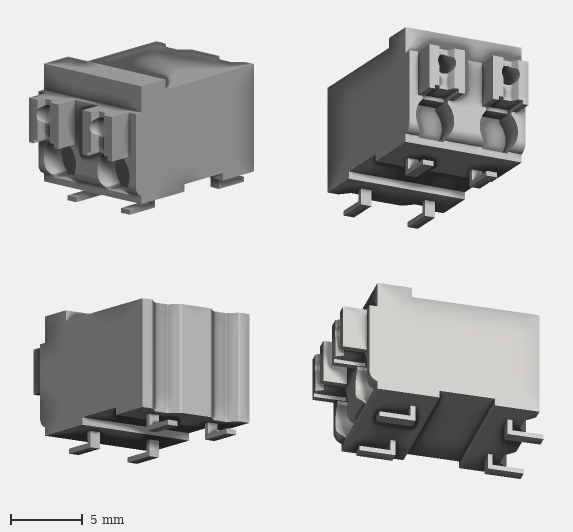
import cadquery as cq
import math


pole_pitch = 5.0
pole_xs = [-pole_pitch / 2, pole_pitch / 2]

housing_width = 9.1
housing_length = 12.27
body_height = 7.73
head_height = 8.47
head_length = 2.51
front_block_height = 6.6
front_block_depth = 0.58
front_round_radius = 0.77
front_round_center_z = 1.34
foot_recess_start = 5.06
foot_recess_end = 9.07
foot_recess_height = 0.53

back_notch_depth = 0.66
back_notch_floor_width = 1.09
back_notch_radius = 0.25

cavity_end = 1.85
wire_offset_x = -0.05
wire_bulge_width = 3.0
wire_bulge_height = 2.42
wire_bulge_center_z = 1.92
wire_slot_width = 2.0
wire_slot_bottom = 0.47

button_width = 2.77
button_bottom = 3.39
button_protrusion = 1.71
button_height = front_block_height - button_bottom
groove_outer_width = 1.2
groove_inner_width = 0.62
groove_depth = 0.53
tool_hole_diameter = 1.4
tool_hole_center_z = 5.52
relief_width = 1.87
relief_height = 0.28

pin_width = 0.81
pin_thickness = 0.35
pin_drop = 1.18
pin_foot_length = 2.6
pin_offset_x = 0.03
front_pin_heel_y = 3.78
rear_pin_heel_y = 10.45


def box(width, y_start, y_end, z_bottom, z_top, center_x):
    """Box centred on center_x that spans the given Y and Z ranges."""
    corner = cq.Vector(center_x - width / 2, y_start, z_bottom)
    return cq.Workplane(cq.Solid.makeBox(width, y_end - y_start, z_top - z_bottom, corner))


def cylinder_along_y(diameter, y_start, y_end, center_x, center_z):
    base = cq.Vector(center_x, y_start, center_z)
    return cq.Workplane(cq.Solid.makeCylinder(diameter / 2, y_end - y_start, base, cq.Vector(0, 1, 0)))


def make_housing_body():
    set_back = front_round_radius - front_block_depth
    round_end_z = front_round_center_z - math.sqrt(front_round_radius**2 - set_back**2)
    mid_angle = math.pi + math.acos(set_back / front_round_radius) / 2
    round_middle = (
        front_round_radius * (1 + math.cos(mid_angle)),
        front_round_center_z + front_round_radius * math.sin(mid_angle),
    )
    head_back = front_block_depth + head_length
    outline = (
        cq.Workplane("YZ")
        .moveTo(0, front_round_center_z)
        .threePointArc(round_middle, (front_block_depth, round_end_z))
        .lineTo(front_block_depth, 0)
        .lineTo(foot_recess_start, 0)
        .lineTo(foot_recess_start, foot_recess_height)
        .lineTo(foot_recess_end, foot_recess_height)
        .lineTo(foot_recess_end, 0)
        .lineTo(housing_length, 0)
        .lineTo(housing_length, body_height)
        .lineTo(head_back, body_height)
        .lineTo(head_back, head_height)
        .lineTo(front_block_depth, head_height)
        .lineTo(front_block_depth, front_block_height)
        .lineTo(0, front_block_height)
        .close()
    )
    return outline.extrude(housing_width / 2, both=True)


def cut_back_notch(housing, pole_x):
    """Cut a full-height notch with 45 degree sides and round its floor and mouth corners."""
    floor_y = housing_length - back_notch_depth
    half_floor = back_notch_floor_width / 2
    half_mouth = half_floor + back_notch_depth
    notch = (
        cq.Workplane("XY", origin=(pole_x, 0, 0))
        .polyline([
            (-half_mouth, housing_length),
            (-half_floor, floor_y),
            (half_floor, floor_y),
            (half_mouth, housing_length),
        ])
        .close()
        .extrude(body_height)
    )
    reach = half_mouth + back_notch_radius
    notch_corners = cq.selectors.BoxSelector(
        (pole_x - reach, floor_y - back_notch_radius, 0),
        (pole_x + reach, housing_length + back_notch_radius, body_height),
    )
    return housing.cut(notch).edges("|Z").edges(notch_corners).fillet(back_notch_radius)


def make_wire_entry(pole_x):
    """Upright slot with bulging sides that reaches up to the button."""
    center_x = pole_x + wire_offset_x
    slot = box(wire_slot_width, 0, cavity_end, wire_slot_bottom, button_bottom, center_x)
    half_slot = wire_slot_width / 2
    half_bulge = wire_bulge_width / 2
    half_height = wire_bulge_height / 2
    bulge = (
        cq.Workplane("XZ", origin=(center_x, 0, wire_bulge_center_z))
        .moveTo(-half_slot, -half_height)
        .lineTo(half_slot, -half_height)
        .threePointArc((half_bulge, 0), (half_slot, half_height))
        .lineTo(-half_slot, half_height)
        .threePointArc((-half_bulge, 0), (-half_slot, -half_height))
        .close()
        .extrude(-cavity_end)
    )
    return slot.union(bulge)


def make_housing():
    housing = make_housing_body()
    for pole_x in pole_xs:
        housing = cut_back_notch(housing, pole_x)
        button_seat = box(button_width, 0, cavity_end, button_bottom, front_block_height, pole_x)
        housing = housing.cut(button_seat)
        housing = housing.cut(make_wire_entry(pole_x))
    return housing


def make_button(pole_x):
    front_y = -button_protrusion
    body = box(button_width, front_y, cavity_end, button_bottom, front_block_height, pole_x)
    groove = (
        cq.Workplane("XY", origin=(pole_x, front_y, button_bottom))
        .polyline([
            (-groove_outer_width / 2, 0),
            (groove_outer_width / 2, 0),
            (groove_inner_width / 2, groove_depth),
            (-groove_inner_width / 2, groove_depth),
        ])
        .close()
        .extrude(button_height)
    )
    tool_hole = cylinder_along_y(tool_hole_diameter, front_y, cavity_end, pole_x, tool_hole_center_z)
    relief_top = button_bottom + relief_height
    relief = box(relief_width, front_y, front_block_depth, button_bottom, relief_top, pole_x)
    return body.cut(groove).cut(tool_hole).cut(relief)


def make_pin(pole_x, heel_y, foot_direction):
    """L-shaped pin: a leg down from the underside and a foot along foot_direction (+1 or -1 in Y)."""
    leg_y = heel_y + foot_direction * pin_thickness
    toe_y = heel_y + foot_direction * pin_foot_length
    foot_top = pin_thickness - pin_drop
    profile = [
        (heel_y, 0),
        (heel_y, -pin_drop),
        (toe_y, -pin_drop),
        (toe_y, foot_top),
        (leg_y, foot_top),
        (leg_y, 0),
    ]
    outline = cq.Workplane("YZ", origin=(pole_x + pin_offset_x, 0, 0)).polyline(profile).close()
    return outline.extrude(pin_width / 2, both=True)


housing = make_housing()
buttons = [make_button(pole_x) for pole_x in pole_xs]
front_pins = [make_pin(pole_x, front_pin_heel_y, -1) for pole_x in pole_xs]
rear_pins = [make_pin(pole_x, rear_pin_heel_y, 1) for pole_x in pole_xs]

bodies = [housing, *buttons, *front_pins, *rear_pins]
result = cq.Compound.makeCompound([body.val() for body in bodies])